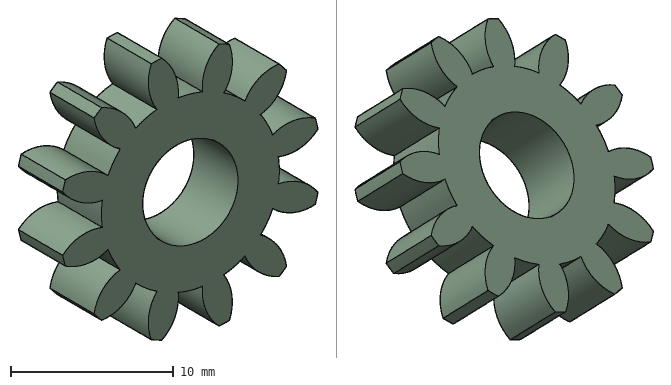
import cadquery as cq
import math

face_width = 5.0
bore_diameter = 7.0
hub_diameter = 13.08
tip_diameter = 19.25
tooth_count = 12
tooth_width = 2.06
flank_radius = 3.3
widest_point_distance = 7.67

tooth_pitch = 360.0 / tooth_count
first_tooth_angle = tooth_pitch / 2
half_tooth = tooth_width / 2

lens_half_length = math.sqrt(flank_radius**2 - (flank_radius - half_tooth)**2)


def cylinder(diameter):
    """Cylinder about the X axis, as long as the gear is wide."""
    return cq.Workplane("YZ").circle(diameter / 2).extrude(face_width)


def make_tooth(angle):
    """Lens-shaped tooth: its inner point is buried in the hub, its outer point is cut off."""
    inner_point = (widest_point_distance - lens_half_length, 0)
    outer_point = (widest_point_distance + lens_half_length, 0)
    lens = (
        cq.Workplane("YZ")
        .moveTo(*inner_point)
        .threePointArc((widest_point_distance, -half_tooth), outer_point)
        .threePointArc((widest_point_distance, half_tooth), inner_point)
        .close()
        .extrude(face_width)
    )
    tooth = lens.intersect(cylinder(tip_diameter))
    return tooth.rotate((0, 0, 0), (1, 0, 0), angle)


def make_gear():
    """Hub with evenly spaced teeth and a plain through bore."""
    gear = cylinder(hub_diameter)
    for index in range(tooth_count):
        gear = gear.union(make_tooth(first_tooth_angle + index * tooth_pitch))
    return gear.cut(cylinder(bore_diameter))


result = make_gear()